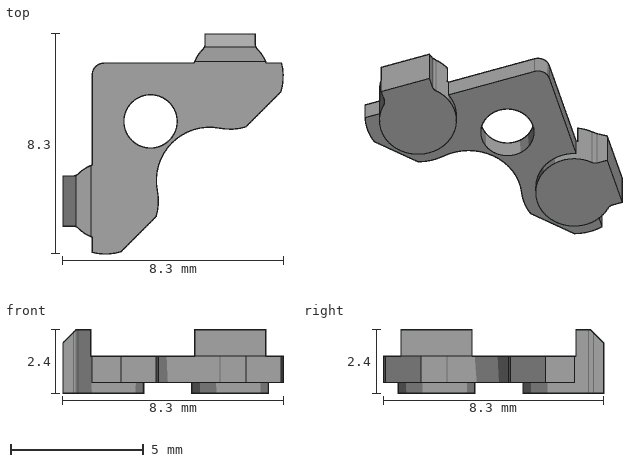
import cadquery as cq
import math

plate_thickness = 1.0
hole_diameter = 2.0
edge_offset = 2.2
corner_radius = 0.45

lobe_radius = 2.0
lobe_along = 3.0
lobe_across = 1.7
flat_reach = 3.8
inner_radius = 2.0

foot_radius = 1.45
foot_drop = 0.4
tab_top = 2.0
tab_width = 1.9
tab_reach = 1.6
tab_back = 0.55
tab_chamfer = 0.5
tab_root_fillet = 0.25


def mirrored(point):
    """Reflect a point across the symmetry line y = -x."""
    x, y = point
    return (-y, -x)


def on_circle(center, radius, angle):
    return (center[0] + radius * math.cos(angle), center[1] + radius * math.sin(angle))


def make_plate():
    lobe = (lobe_along, lobe_across)

    center_distance = lobe_radius + inner_radius
    across_line = (lobe_along + lobe_across) / math.sqrt(2)
    along_line = math.sqrt(center_distance**2 - across_line**2)
    inner = (lobe_along - lobe_across) / 2 + along_line / math.sqrt(2)
    inner_center = (inner, -inner)
    inner_middle = on_circle(inner_center, inner_radius, math.radians(135))

    edge_angle = math.asin((edge_offset - lobe_across) / lobe_radius)
    flat_distance = (flat_reach - (lobe_along - lobe_across)) / math.sqrt(2)
    flat_half_angle = math.acos(flat_distance / lobe_radius)
    flat_direction = math.radians(-45)
    flat_outer_angle = flat_direction + flat_half_angle
    flat_inner_angle = flat_direction - flat_half_angle
    tangent_angle = math.atan2(inner_center[1] - lobe[1], inner_center[0] - lobe[0])

    edge_end = on_circle(lobe, lobe_radius, edge_angle)
    end_middle = on_circle(lobe, lobe_radius, (edge_angle + flat_outer_angle) / 2)
    flat_outer = on_circle(lobe, lobe_radius, flat_outer_angle)
    flat_inner = on_circle(lobe, lobe_radius, flat_inner_angle)
    side_middle = on_circle(lobe, lobe_radius, (flat_inner_angle + tangent_angle) / 2)
    tangent_point = on_circle(lobe, lobe_radius, tangent_angle)

    plate = (
        cq.Workplane("XY")
        .moveTo(-edge_offset, edge_offset)
        .lineTo(*edge_end)
        .threePointArc(end_middle, flat_outer)
        .lineTo(*flat_inner)
        .threePointArc(side_middle, tangent_point)
        .threePointArc(inner_middle, mirrored(tangent_point))
        .threePointArc(mirrored(side_middle), mirrored(flat_inner))
        .lineTo(*mirrored(flat_outer))
        .threePointArc(mirrored(end_middle), mirrored(edge_end))
        .close()
        .extrude(plate_thickness)
    )
    outer_corner = cq.selectors.NearestToPointSelector(
        (-edge_offset, edge_offset, plate_thickness / 2)
    )
    return plate.edges("|Z").edges(outer_corner).fillet(corner_radius)


def make_clip():
    """Round foot with its tab, centred on the origin and pointing along +Y."""
    half_width = tab_width / 2
    fillet_x = half_width + tab_root_fillet
    fillet_y = math.sqrt((foot_radius + tab_root_fillet) ** 2 - fillet_x**2)
    fillet_center = (fillet_x, fillet_y)

    foot_angle = math.atan2(fillet_y, fillet_x)
    foot_point = on_circle((0, 0), foot_radius, foot_angle)
    fillet_middle = on_circle(fillet_center, tab_root_fillet, foot_angle / 2 + math.pi)

    clip = (
        cq.Workplane("XY")
        .workplane(offset=-foot_drop)
        .moveTo(half_width, tab_reach)
        .lineTo(half_width, fillet_y)
        .threePointArc(fillet_middle, foot_point)
        .threePointArc((0, -foot_radius), (-foot_point[0], foot_point[1]))
        .threePointArc((-fillet_middle[0], fillet_middle[1]), (-half_width, fillet_y))
        .lineTo(-half_width, tab_reach)
        .close()
        .extrude(foot_drop + tab_top)
    )
    clip = clip.faces(">Y").edges(">Z").chamfer(tab_chamfer)

    clearance_depth = foot_radius + tab_back
    clearance = (
        cq.Workplane("XY")
        .box(2 * foot_radius, clearance_depth, tab_top - plate_thickness, centered=(True, False, False))
        .translate((0, -foot_radius, plate_thickness))
    )
    return clip.cut(clearance)


def make_hole():
    return cq.Workplane("XY").circle(hole_diameter / 2).extrude(plate_thickness)


clip = make_clip()
x_arm_clip = clip.translate((lobe_along, lobe_across, 0))
y_arm_clip = clip.rotate((0, 0, 0), (0, 0, 1), 90).translate((-lobe_across, -lobe_along, 0))

result = make_plate().union(x_arm_clip).union(y_arm_clip).cut(make_hole())